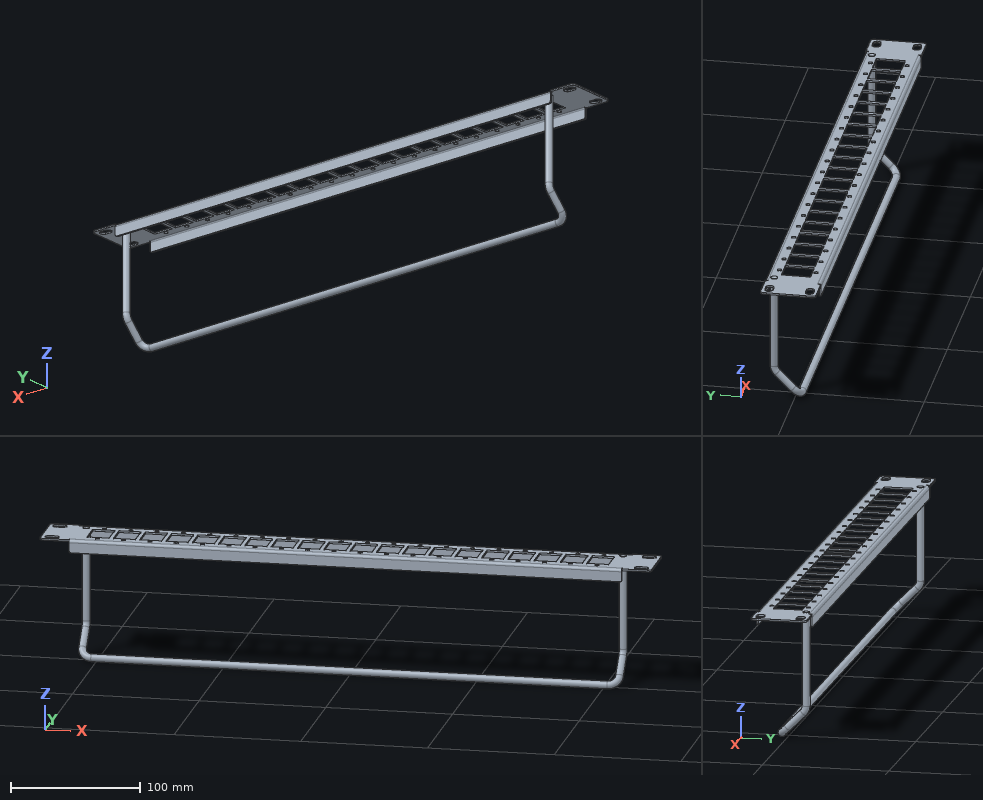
import cadquery as cq
import math

plate_length = 482.5
plate_width = 44.0
plate_thickness = 1.5
plate_corner_radius = 3.0

flange_length = 436.5
flange_depth = 10.5
flange_corner_radius = 1.5
bend_inner_radius = 1.0
bend_outer_radius = bend_inner_radius + plate_thickness

mount_slot_length = 10.5
mount_slot_width = 6.5
mount_spacing_x = 465.0
mount_spacing_y = 32.0

window_count = 20
window_pitch = 20.8
window_width = 17.5
window_height = 22.5
window_hole_diameter = 3.2
window_hole_spacing_y = 29.0

rod_diameter = 6.5
leg_x = 212.0
leg_y = 16.0
overall_height = 102.0
cross_bar_y = -5.0
cross_bar_z = rod_diameter / 2 - overall_height
rod_bend_radius = 8.0
leg_tilt = 45.0

leg_screw_head_diameter = 5.5
leg_thread_diameter = 3.0
leg_thread_depth = 8.0
leg_pilot_diameter = 2.45
leg_pilot_depth = 15.5


def make_plate():
    return (
        cq.Workplane("XY")
        .workplane(offset=-plate_thickness)
        .rect(plate_length, plate_width)
        .extrude(plate_thickness)
        .edges("|Z")
        .fillet(plate_corner_radius)
    )


def make_folded_channel():
    """Flat web with both flanges, rounded inside and outside each fold."""
    inner_width = plate_width - 2 * plate_thickness
    channel = (
        cq.Workplane("XY")
        .box(flange_length, plate_width, flange_depth, centered=(True, True, False))
        .translate((0, 0, -flange_depth))
        .edges("|X and >Z")
        .fillet(bend_outer_radius)
    )
    cavity = (
        cq.Workplane("XY")
        .box(flange_length, inner_width, flange_depth, centered=(True, True, False))
        .translate((0, 0, -flange_depth - plate_thickness))
        .edges("|X and >Z")
        .fillet(bend_inner_radius)
    )
    return channel.cut(cavity).edges("|Y and <Z").fillet(flange_corner_radius)


def fold_flanges(plate):
    """Replace the middle of the flat plate by the channel with its rounded folds."""
    middle = cq.Workplane("XY").box(flange_length, plate_width, 2 * plate_thickness)
    return plate.cut(middle).union(make_folded_channel())


def make_rod():
    """Rod swept along leg, tilted arm, cross bar, tilted arm and leg."""
    tilt = math.radians(leg_tilt)
    knee_z = cross_bar_z + (leg_y - cross_bar_y) / math.tan(tilt)
    arm = cq.Vector(0, -math.sin(tilt), -math.cos(tilt))
    down = cq.Vector(0, 0, -1)
    inward = cq.Vector(1, 0, 0)

    top = cq.Vector(-leg_x, leg_y, -plate_thickness)
    knee = cq.Vector(-leg_x, leg_y, knee_z)
    corner = cq.Vector(-leg_x, cross_bar_y, cross_bar_z)

    def bend(vertex, direction_in, direction_out, turn):
        setback = rod_bend_radius * math.tan(turn / 2)
        start = vertex - direction_in * setback
        end = vertex + direction_out * setback
        return start, cq.Edge.makeTangentArc(start, direction_in, end), end

    knee_start, knee_arc, knee_end = bend(knee, down, arm, tilt)
    corner_start, corner_arc, corner_end = bend(corner, arm, inward, math.pi / 2)
    left_edges = [
        cq.Edge.makeLine(top, knee_start),
        knee_arc,
        cq.Edge.makeLine(knee_end, corner_start),
        corner_arc,
    ]
    right_edges = [edge.mirror("YZ") for edge in left_edges]
    corner_end_right = cq.Vector(-corner_end.x, corner_end.y, corner_end.z)
    cross_bar = cq.Edge.makeLine(corner_end, corner_end_right)
    path = cq.Wire.assembleEdges(left_edges + [cross_bar] + right_edges[::-1])
    return (
        cq.Workplane("XY", origin=top.toTuple())
        .circle(rod_diameter / 2)
        .sweep(cq.Workplane(path))
    )


def through_plate(sketch):
    """Turn outlines drawn on the top face into cutters of the plate's thickness."""
    return sketch.extrude(-plate_thickness)


def cut_mount_slots(body):
    slots = (
        cq.Workplane("XY")
        .rect(mount_spacing_x, mount_spacing_y, forConstruction=True)
        .vertices()
        .slot2D(mount_slot_length, mount_slot_width)
    )
    return body.cut(through_plate(slots))


def cut_windows(body):
    windows = (
        cq.Workplane("XY")
        .rarray(window_pitch, 5, window_count, 1)
        .rect(window_width, window_height)
    )
    holes = (
        cq.Workplane("XY")
        .rarray(window_pitch, window_hole_spacing_y, window_count, 2)
        .circle(window_hole_diameter / 2)
    )
    return body.cut(through_plate(windows)).cut(through_plate(holes))


def cut_leg_screw_holes(body):
    for x in (-leg_x, leg_x):
        top = cq.Workplane("XY", origin=(x, leg_y, 0))
        countersink = (
            top.circle(leg_screw_head_diameter / 2)
            .workplane(offset=-plate_thickness)
            .circle(leg_thread_diameter / 2)
            .loft()
        )
        thread = top.circle(leg_thread_diameter / 2).extrude(-leg_thread_depth)
        pilot = top.circle(leg_pilot_diameter / 2).extrude(-leg_pilot_depth)
        body = body.cut(countersink).cut(thread).cut(pilot)
    return body


result = fold_flanges(make_plate())
result = cut_mount_slots(result)
result = cut_windows(result)
result = result.union(make_rod())
result = cut_leg_screw_holes(result)